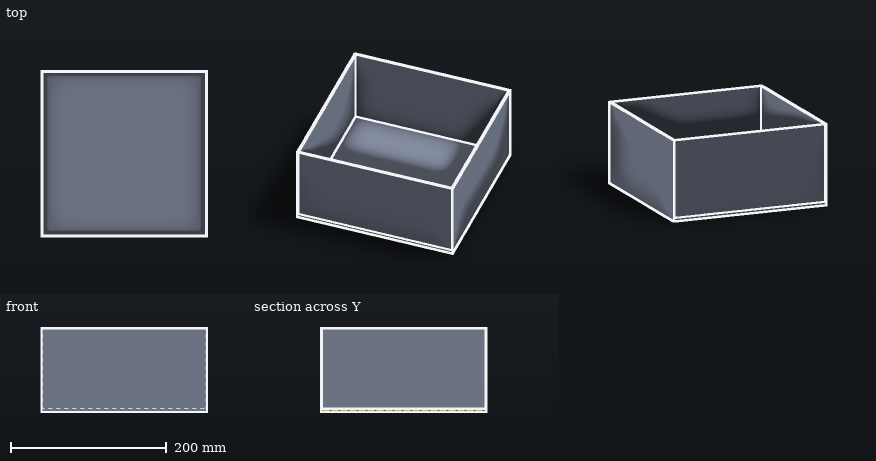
import cadquery as cq

outer_side = 213.0
outer_height = 108.0
wall_thickness = 1.5
floor_thickness = 4.5

cavity_side = outer_side - 2 * wall_thickness
cavity_depth = outer_height - floor_thickness


def make_block():
    """Square outer block standing on the XY plane, centred on the Z axis."""
    return cq.Workplane("XY").rect(outer_side, outer_side).extrude(outer_height)


def make_cavity():
    """Square cavity rising from the floor to the open top."""
    return (
        cq.Workplane("XY", origin=(0, 0, floor_thickness))
        .rect(cavity_side, cavity_side)
        .extrude(cavity_depth)
    )


result = make_block().cut(make_cavity())